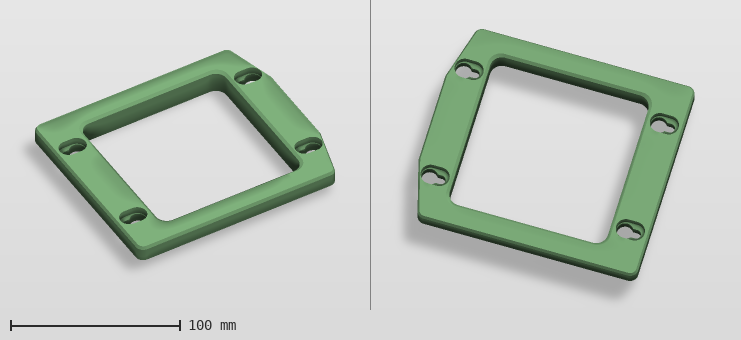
import cadquery as cq
import math

plate_width = 125.0
plate_length = 144.0
plate_thickness = 10.1
plate_corner_radius = 4.9
chamfer_width = 1.08
chamfer_height = 1.9
top_edge_half_width = 27.8
shoulder_angle = 15.7

window_size = 97.2
window_corner_radius = 7.2
window_chamfer_width = 1.7
window_chamfer_height = 1.5
window_mouth_radius = 7.9
lip_size = 99.0
lip_height = 5.0
lip_corner_radius = 2.7

keyhole_half_spacing = 35.0
lower_head_y = -57.2
keyhole_row_spacing = 120.0
head_diameter = 10.0
shank_width = 5.5
shank_drop = 6.9
recess_width = 12.0
recess_drop = 5.5
recess_start_offset = -0.6
recess_depth = 4.6


def rounded_square(size, corner_radius, z):
    """Sketch of a square with rounded corners at height z."""
    return (
        cq.Sketch()
        .rect(size, size)
        .vertices()
        .fillet(corner_radius)
        .moved(cq.Location(cq.Vector(0, 0, z)))
    )


def make_plate():
    half_width = plate_width / 2
    half_length = plate_length / 2
    shoulder_run = half_width - top_edge_half_width
    shoulder_y = half_length - shoulder_run * math.tan(math.radians(shoulder_angle))
    outline = [
        (-half_width, -half_length),
        (half_width, -half_length),
        (half_width, shoulder_y),
        (top_edge_half_width, half_length),
        (-top_edge_half_width, half_length),
        (-half_width, shoulder_y),
    ]
    rounded_corners = cq.selectors.BoxSelector(
        (-plate_width, -plate_length, -plate_thickness),
        (plate_width, shoulder_y + plate_corner_radius / 2, 2 * plate_thickness),
    )
    slab = (
        cq.Workplane("XY")
        .polyline(outline)
        .close()
        .extrude(plate_thickness - chamfer_height)
        .edges("|Z")
        .edges(rounded_corners)
        .fillet(plate_corner_radius)
    )
    rim_lean = math.degrees(math.atan(chamfer_width / chamfer_height))
    return slab.faces(">Z").wires().toPending().extrude(chamfer_height, taper=rim_lean)


def make_lip():
    lip = rounded_square(lip_size, lip_corner_radius, -lip_height)
    return cq.Workplane("XY").placeSketch(lip).extrude(lip_height)


def make_window():
    throat = rounded_square(window_size, window_corner_radius, -lip_height)
    shaft = cq.Workplane("XY").placeSketch(throat).extrude(lip_height + plate_thickness)
    mouth = cq.Workplane("XY").placeSketch(
        rounded_square(window_size, window_corner_radius, plate_thickness - window_chamfer_height),
        rounded_square(window_size + 2 * window_chamfer_width, window_mouth_radius, plate_thickness),
    ).loft()
    return shaft.union(mouth)


def vertical_slot(x, start_y, drop, width, bottom_z):
    """Slot running down in Y from a round end centred at start_y, open at the plate top."""
    return (
        cq.Workplane("XY", origin=(x, start_y - drop / 2, bottom_z))
        .slot2D(drop + width, width, 90)
        .extrude(plate_thickness - bottom_z)
    )


def make_keyhole(x, head_y):
    head = cq.Workplane("XY", origin=(x, head_y, 0)).circle(head_diameter / 2).extrude(plate_thickness)
    shank = vertical_slot(x, head_y, shank_drop, shank_width, 0)
    recess_y = head_y + recess_start_offset
    recess = vertical_slot(x, recess_y, recess_drop, recess_width, plate_thickness - recess_depth)
    return head.union(shank).union(recess)


result = make_plate().union(make_lip()).cut(make_window())
for keyhole_x in (-keyhole_half_spacing, keyhole_half_spacing):
    for keyhole_y in (lower_head_y, lower_head_y + keyhole_row_spacing):
        result = result.cut(make_keyhole(keyhole_x, keyhole_y))